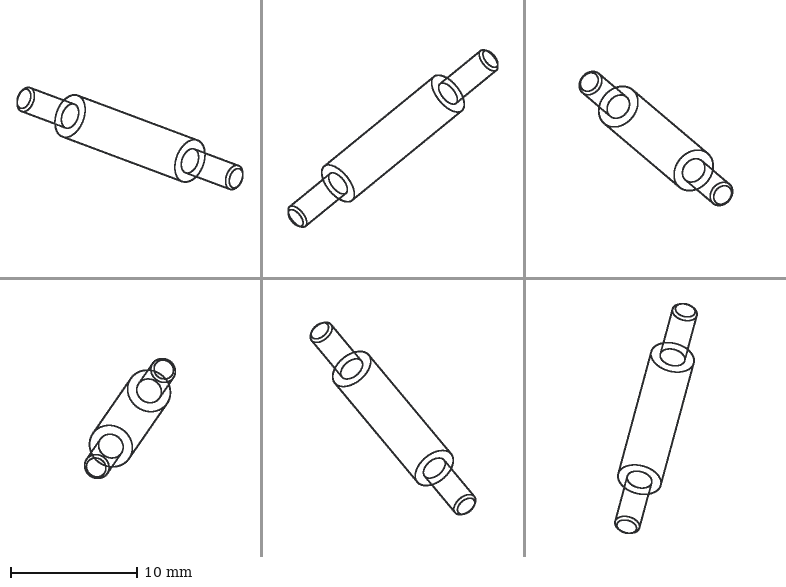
import cadquery as cq

total_length = 23.0

body_length = 13.0
body_diameter = 3.5

pin_diameter = 2.0
tip_chamfer = 0.2


def cylinder_along_x(length, diameter):
    """Solid cylinder on the X axis, centred on the origin."""
    return cq.Workplane("YZ", origin=(-length / 2, 0, 0)).circle(diameter / 2).extrude(length)


pin = cylinder_along_x(total_length, pin_diameter).faces("<X or >X").chamfer(tip_chamfer)
body = cylinder_along_x(body_length, body_diameter)

result = body.union(pin)